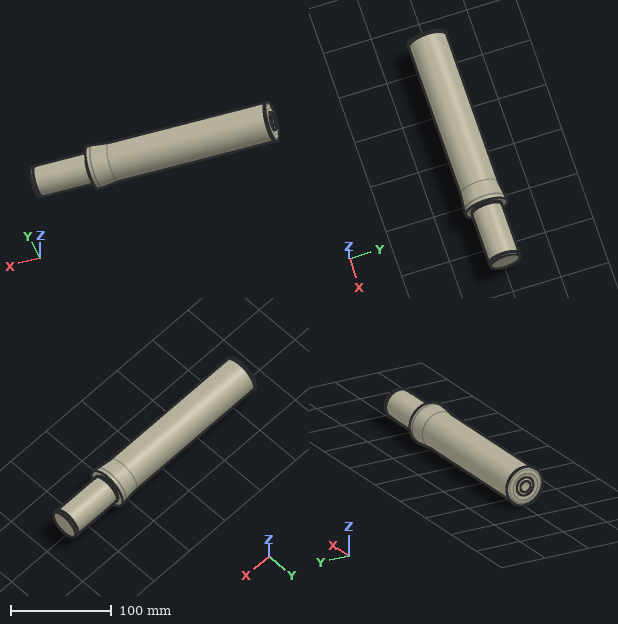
import cadquery as cq

TOTAL_LENGTH = 251.0

TIP_LENGTH = 3.3
RIM_RADIUS = 20.5
RIM_START = 1.3
RIM_END = 2.0
OUTER_CREST_RADIUS = 14.0
VALLEY_RADIUS = 9.5
INNER_CREST_RADIUS = 5.8
VALLEY_DEPTH = 0.8
CENTRE_DEPTH = 0.8
FLANK_RADIUS = 17.8
FLANK_X = 0.55

BARREL_RADIUS = 40.0 / 2
COLLAR_RADIUS = 44.0 / 2
FLARE_START = 168.7
FLARE_END = 185.5
COLLAR_LEAD_LENGTH = 0.8
COLLAR_LEAD_HEIGHT = 0.13
COLLAR_END = 190.8

SHANK_RADIUS = 32.0 / 2
RELIEF_RADIUS = 31.5 / 2
RELIEF_LENGTH = 1.3
RELIEF_RUNOUT = 0.8
END_LAND_START = 248.2
END_CHAMFER_START = 249.7
END_FACE_RADIUS = 15.3


def revolve_about_x(profile):
    """Turn a closed profile, drawn as (x, radius), about the X axis."""
    return profile.close().revolve(360, (0, 0, 0), (1, 0, 0))


def make_cutting_tip():
    profile = (
        cq.Workplane("XY")
        .moveTo(CENTRE_DEPTH, 0)
        .lineTo(0, INNER_CREST_RADIUS)
        .lineTo(VALLEY_DEPTH, VALLEY_RADIUS)
        .lineTo(0, OUTER_CREST_RADIUS)
        .lineTo(FLANK_X, FLANK_RADIUS)
        .lineTo(RIM_START, RIM_RADIUS)
        .lineTo(RIM_END, RIM_RADIUS)
        .lineTo(TIP_LENGTH, BARREL_RADIUS)
        .lineTo(TIP_LENGTH, 0)
    )
    return revolve_about_x(profile)


def make_holder():
    flare_end_radius = COLLAR_RADIUS - COLLAR_LEAD_HEIGHT
    relief_end = COLLAR_END + RELIEF_LENGTH
    profile = (
        cq.Workplane("XY")
        .moveTo(TIP_LENGTH, 0)
        .lineTo(TIP_LENGTH, BARREL_RADIUS)
        .lineTo(FLARE_START, BARREL_RADIUS)
        .lineTo(FLARE_END, flare_end_radius)
        .lineTo(FLARE_END + COLLAR_LEAD_LENGTH, COLLAR_RADIUS)
        .lineTo(COLLAR_END, COLLAR_RADIUS)
        .lineTo(COLLAR_END, RELIEF_RADIUS)
        .lineTo(relief_end, RELIEF_RADIUS)
        .lineTo(relief_end + RELIEF_RUNOUT, SHANK_RADIUS)
        .lineTo(END_LAND_START - RELIEF_RUNOUT, SHANK_RADIUS)
        .lineTo(END_LAND_START, RELIEF_RADIUS)
        .lineTo(END_CHAMFER_START, RELIEF_RADIUS)
        .lineTo(TOTAL_LENGTH, END_FACE_RADIUS)
        .lineTo(TOTAL_LENGTH, 0)
    )
    return revolve_about_x(profile)


cutting_tip = make_cutting_tip()
holder = make_holder()

result = cq.Compound.makeCompound([cutting_tip.val(), holder.val()])